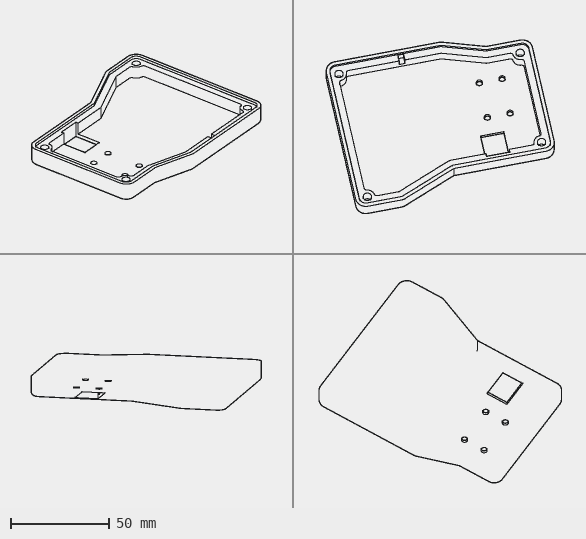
import cadquery as cq

length_x = 83.8
length_y = 105.8
height = 10.0

left_step = 12.1
right_step = 7.2
left_slant_top = 82.0
left_slant_bottom = 53.3
right_slant_top = 45.3
right_slant_bottom = 23.1
corner_radius = 5.3
bend_radius = 4.0
bottom_fillet = 2.1

floor_thickness = 2.0
rim_width = 1.9
recess_depth = 1.5
wall_width = 5.6
ledge_z = height - recess_depth

post_radius = 3.8
post_fillet = 1.4
screw_hole_diameter = 4.2
screw_centers = [(6.0, 99.6), (77.2, 99.6), (18.3, 6.3), (70.1, 6.7)]

window_x = 16.2
window_y = 23.3
window_length_x = 15.0
window_length_y = 12.1
floor_hole_diameter = 3.2
floor_hole_xs = (40.9, 60.9)
floor_hole_ys = (18.0, 29.8)

notch_width = 3.0
notch_center_y = 66.4
notch_wall = 2.2
notch_depth = 4.0

pick_margin = 0.5

lower_right_x = length_x - right_step

corner_points = [(left_step, 0), (lower_right_x, 0), (length_x, length_y), (0, length_y)]
bend_points = [(length_x, right_slant_top), (0, left_slant_top)]


def outline(inset):
    """Sharp-cornered outline, moved inward by the inset."""
    sketch = cq.Workplane("XY").polyline([
        (left_step, 0),
        (lower_right_x, 0),
        (lower_right_x, right_slant_bottom),
        (length_x, right_slant_top),
        (length_x, length_y),
        (0, length_y),
        (0, left_slant_top),
        (left_step, left_slant_bottom),
    ]).close()
    if inset > 0:
        sketch = sketch.offset2D(-inset, "intersection")
    return sketch


def round_upright_edges(body, points, radius, reach):
    """Fillet the vertical edges lying within reach of the given points."""
    for x, y in points:
        near_point = cq.selectors.BoxSelector((x - reach, y - reach, 0), (x + reach, y + reach, height))
        upright = cq.selectors.StringSyntaxSelector("|Z")
        body = body.edges(upright & near_point).fillet(radius)
    return body


def rounded_block(inset, block_height):
    """Extruded outline whose roundings stay concentric with the outer ones."""
    reach = inset + pick_margin
    block = outline(inset).extrude(block_height)
    block = round_upright_edges(block, corner_points, corner_radius - inset, reach)
    return round_upright_edges(block, bend_points, bend_radius - inset, reach)


def cavity():
    """Main pocket, leaving a post with blended sides in each corner."""
    pocket_height = height - floor_thickness
    posts = cq.Workplane("XY").pushPoints(screw_centers).circle(post_radius).extrude(pocket_height)
    pocket = outline(wall_width).extrude(pocket_height).cut(posts)
    pocket = round_upright_edges(pocket, screw_centers, post_fillet, post_radius + pick_margin)
    return pocket.translate((0, 0, floor_thickness))


def screw_holes():
    """Blind holes in the posts, ending at the floor."""
    return (
        cq.Workplane("XY", origin=(0, 0, floor_thickness))
        .pushPoints(screw_centers)
        .circle(screw_hole_diameter / 2)
        .extrude(height)
    )


def window():
    """Rectangular opening through the floor, also cutting into the left wall."""
    opening = cq.Workplane("XY").box(window_length_x, window_length_y, height, centered=False)
    return opening.translate((window_x, window_y, 0))


def floor_holes():
    """Two by two pattern of holes through the floor."""
    centers = [(x, y) for x in floor_hole_xs for y in floor_hole_ys]
    return cq.Workplane("XY").pushPoints(centers).circle(floor_hole_diameter / 2).extrude(height)


def cable_notch():
    """Square notch running from the cavity into the right wall."""
    notch_length = wall_width - notch_wall
    notch = cq.Workplane("XY").box(notch_length, notch_width, notch_depth, centered=(False, True, False))
    return notch.translate((length_x - wall_width, notch_center_y, ledge_z - notch_depth))


shell = rounded_block(0, height).faces("<Z").edges().fillet(bottom_fillet)
lid_recess = rounded_block(rim_width, recess_depth).translate((0, 0, ledge_z))

result = (
    shell
    .cut(lid_recess)
    .cut(cavity())
    .cut(screw_holes())
    .cut(window())
    .cut(floor_holes())
    .cut(cable_notch())
)